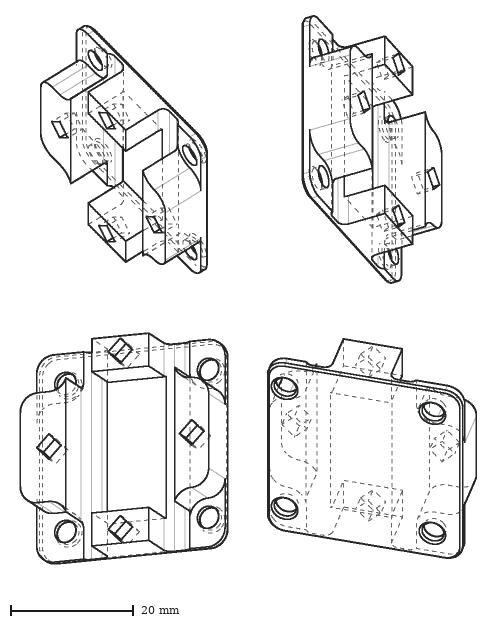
import cadquery as cq
import math

WIDTH = 33.0
DEPTH = 9.0
HEIGHT = 35.0
BACK_CHAMFER = 0.4
PLATE_THICKNESS = 1.6

FEATURE_X = 1.0

HOLE_PITCH = 25.0
HOLE_DIAMETER = 3.7
CLEARANCE_RADIUS = 3.22

CENTRAL_WIDTH = 9.98
GROOVE_WIDTH = 4.5
GROOVE_FLOOR_THICKNESS = 0.98
GROOVE_FILLET = 1.33

CENTRAL_BLOCK_HEIGHT = 5.55

POCKET_SIDE = 3.0
POCKET_DEPTH = POCKET_SIDE
POCKET_ANGLE = 45
END_POCKET_Z = 14.98

FRONT_Y = -DEPTH / 2
HOLE_X = [FEATURE_X - HOLE_PITCH / 2, FEATURE_X + HOLE_PITCH / 2]
HOLE_Z = HOLE_PITCH / 2
CORNER_RADIUS = WIDTH / 2 - HOLE_X[1]


def front_plane():
    """Sketch plane on the front face: local axes are X and Z, negative extrusion runs into the part."""
    return cq.Workplane("XZ", origin=(0, FRONT_Y, 0))


def screw_holes():
    centers = [(x, z) for x in HOLE_X for z in (-HOLE_Z, HOLE_Z)]
    return front_plane().pushPoints(centers).circle(HOLE_DIAMETER / 2).extrude(-DEPTH)


def base_body():
    """Rounded block with the screw holes; every edge on its back face is chamfered."""
    body = front_plane().rect(WIDTH, HEIGHT).extrude(-DEPTH)
    body = body.edges("|Y").fillet(CORNER_RADIUS)
    body = body.cut(screw_holes())
    return body.faces(">Y").edges().chamfer(BACK_CHAMFER)


def corner_notch(hole_x, side, end):
    """Space in front of the plate around one hole; side and end are the signs of its X and Z."""
    diagonal = math.sqrt(0.5)
    edge_x = side * WIDTH / 2
    edge_z = end * HEIGHT / 2
    hole_z = end * HOLE_Z
    ledge_z = end * (HOLE_Z - CLEARANCE_RADIUS)
    inner_x = hole_x - side * CLEARANCE_RADIUS
    clearance_middle = (
        hole_x - side * CLEARANCE_RADIUS * diagonal,
        hole_z - end * CLEARANCE_RADIUS * diagonal,
    )
    round_x = edge_x - side * CORNER_RADIUS
    round_z = ledge_z - end * CORNER_RADIUS
    round_middle = (
        round_x + side * CORNER_RADIUS * diagonal,
        round_z + end * CORNER_RADIUS * diagonal,
    )
    outline = front_plane().moveTo(inner_x, edge_z).lineTo(inner_x, hole_z)
    outline = outline.threePointArc(clearance_middle, (hole_x, ledge_z))
    if side < 0:
        outline = outline.lineTo(round_x, ledge_z)
    outline = outline.threePointArc(round_middle, (edge_x, round_z)).lineTo(edge_x, edge_z)
    return outline.close().extrude(PLATE_THICKNESS - DEPTH)


def groove(side):
    """Full-height slot with rounded floor corners."""
    center_x = FEATURE_X + side * (CENTRAL_WIDTH + GROOVE_WIDTH) / 2
    depth = DEPTH - GROOVE_FLOOR_THICKNESS
    slot = front_plane().center(center_x, 0).rect(GROOVE_WIDTH, HEIGHT).extrude(-depth)
    return slot.faces(">Y").edges("|Z").fillet(GROOVE_FILLET)


def central_recess():
    """Space between the two central blocks, down to the front of the plate."""
    width = CENTRAL_WIDTH + GROOVE_WIDTH
    height = HEIGHT - 2 * CENTRAL_BLOCK_HEIGHT
    return front_plane().center(FEATURE_X, 0).rect(width, height).extrude(PLATE_THICKNESS - DEPTH)


def square_pockets():
    centers = [(x, 0) for x in HOLE_X]
    centers += [(FEATURE_X, -END_POCKET_Z), (FEATURE_X, END_POCKET_Z)]
    square = cq.Sketch().rect(POCKET_SIDE, POCKET_SIDE, angle=POCKET_ANGLE)
    return front_plane().pushPoints(centers).placeSketch(square).extrude(-POCKET_DEPTH)


result = base_body()
for side, hole_x in zip((-1, 1), HOLE_X):
    for end in (-1, 1):
        result = result.cut(corner_notch(hole_x, side, end))
    result = result.cut(groove(side))
result = result.cut(central_recess()).cut(square_pockets())